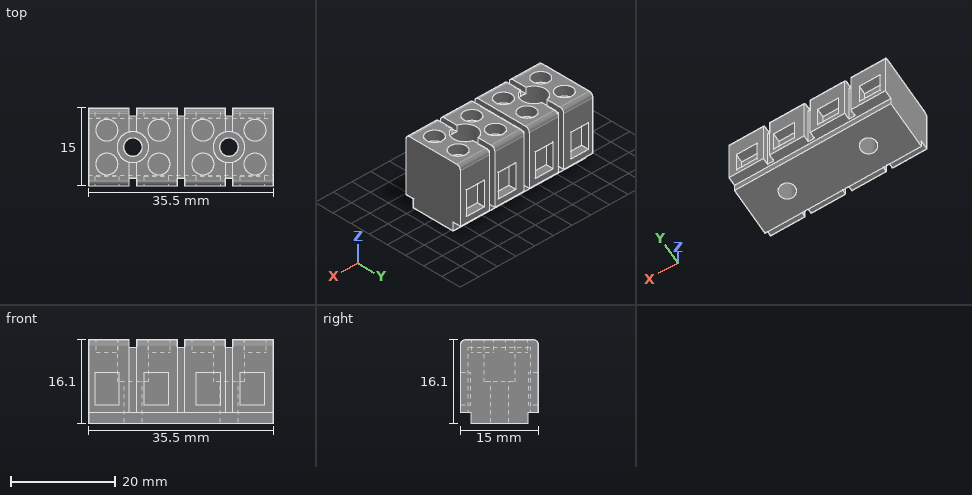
import cadquery as cq

length = 35.5
width = 15.0
height = 16.1
pole_count = 4
foot_width = 11.0
foot_height = 2.1
edge_radius = 1.0

groove_width = 1.4
groove_depth = 1.5
web_width = width - 2 * groove_depth
web_top = height - groove_depth
pole_length = (length - (pole_count - 1) * groove_width) / pole_count
pole_pitch = pole_length + groove_width

mount_diameter = 3.5
counterbore_diameter = 6.0
counterbore_depth = 8.0
mount_positions = [-pole_pitch, pole_pitch]

well_diameter = 4.2
well_depth = 2.5
well_offset_x = 5.0
well_offset_y = 3.25

window_width = 4.7
window_height = 6.2
window_depth = 1.9
window_bottom = 3.6
window_positions = [-14.2, -4.75, 5.25, 13.7]


def make_body():
    """Rounded upper body on its foot."""
    foot = cq.Workplane("XY").box(length, foot_width, foot_height, centered=(True, True, False))
    upper = (
        cq.Workplane("XY")
        .workplane(offset=foot_height)
        .box(length, width, height - foot_height, centered=(True, True, False))
        .edges("|X and >Z")
        .fillet(edge_radius)
    )
    return foot.union(upper)


def cut_grooves(body):
    """Cut the top and both sides between neighbouring poles down to the web."""
    upper_height = height - foot_height
    web_height = web_top - foot_height
    slab = cq.Workplane("XY").box(groove_width, width, upper_height, centered=(True, True, False))
    web = cq.Workplane("XY").box(groove_width, web_width, web_height, centered=(True, True, False))
    groove = slab.cut(web)
    first_groove_x = -(pole_count - 2) * pole_pitch / 2
    for index in range(pole_count - 1):
        groove_x = first_groove_x + index * pole_pitch
        body = body.cut(groove.translate((groove_x, 0, foot_height)))
    return body


def cut_holes_from_top(body, points, diameter, depth):
    """Cut vertical round holes downward from the top face."""
    top_plane = cq.Workplane("XY").workplane(offset=height)
    holes = top_plane.pushPoints(points).circle(diameter / 2).extrude(-depth)
    return body.cut(holes)


def cut_mounting_holes(body):
    """Cut the through holes and their counterbores."""
    points = [(x, 0) for x in mount_positions]
    body = cut_holes_from_top(body, points, mount_diameter, height)
    return cut_holes_from_top(body, points, counterbore_diameter, counterbore_depth)


def cut_screw_wells(body):
    """Cut the blind wells, two rows on either side of each mounting hole."""
    points = [
        (mount_x + side_x * well_offset_x, side_y * well_offset_y)
        for mount_x in mount_positions
        for side_x in (-1, 1)
        for side_y in (-1, 1)
    ]
    return cut_holes_from_top(body, points, well_diameter, well_depth)


def cut_windows(body):
    """Cut the shallow rectangular windows into the two long sides."""
    window = cq.Workplane("XY").box(window_width, window_depth, window_height, centered=(True, True, False))
    window_y = (width - window_depth) / 2
    for window_x in window_positions:
        for side in (-1, 1):
            body = body.cut(window.translate((window_x, side * window_y, window_bottom)))
    return body


result = make_body()
result = cut_grooves(result)
result = cut_mounting_holes(result)
result = cut_screw_wells(result)
result = cut_windows(result)